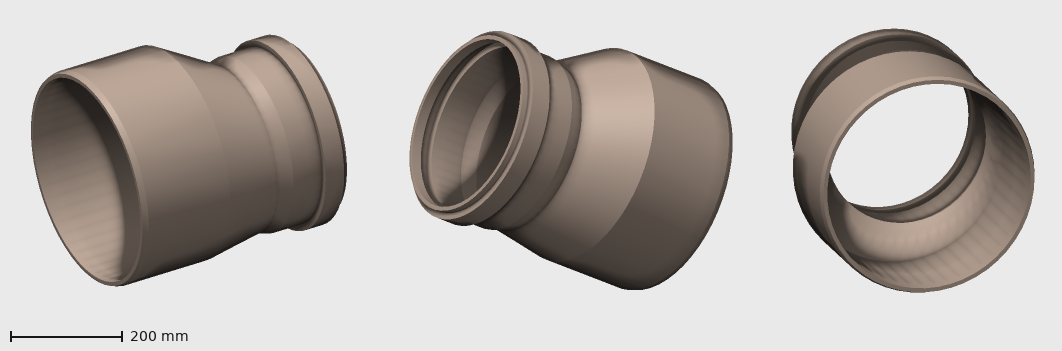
import cadquery as cq


spigot_chamfer_length = 11.5
cone_start = 180.5
cone_end = 280.5
flare_end = 308.5
collar_start = 368.8
collar_end = 407.0
total_length = 420.0

spigot_outer = 402.5
spigot_bore = 380.5
spigot_tip = 395.2
throat_outer = 316.3
throat_bore = 298.0
socket_outer = 331.0
socket_bore = 316.0
collar_outer = 355.5
groove_bore = 341.0

socket_offset = 41.0

groove_wall = (collar_outer - groove_bore) / 2
groove_start = collar_start + groove_wall
groove_end = collar_end - groove_wall


def frustum(y_start, diameter_start, x_start, y_end, diameter_end, x_end):
    """Solid between two circles facing +Y, which may lie on different parallel axes."""
    return (
        cq.Workplane("XZ", origin=(x_start, y_start, 0))
        .circle(diameter_start / 2)
        .workplane(offset=y_start - y_end)
        .center(x_end - x_start, 0)
        .circle(diameter_end / 2)
        .loft(ruled=True, combine=True)
    )


def cylinder(y_start, y_end, diameter, x):
    """Straight round body along Y."""
    return cq.Workplane("XZ", origin=(x, y_start, 0)).circle(diameter / 2).extrude(y_start - y_end)


def outer_body():
    """Outside of the fitting: spigot, eccentric cone, flare, socket and collar."""
    tip = frustum(0, spigot_tip, 0, spigot_chamfer_length, spigot_outer, 0)
    spigot = cylinder(spigot_chamfer_length, cone_start, spigot_outer, 0)
    cone = frustum(cone_start, spigot_outer, 0, cone_end, throat_outer, socket_offset)
    flare = frustum(cone_end, throat_outer, socket_offset, flare_end, socket_outer, socket_offset)
    socket = cylinder(flare_end, total_length, socket_outer, socket_offset)
    collar = cylinder(collar_start, collar_end, collar_outer, socket_offset)
    return tip.union(spigot).union(cone).union(flare).union(socket).union(collar)


def inner_passage():
    """Hollow inside of the fitting, including the seal groove."""
    spigot = cylinder(0, cone_start, spigot_bore, 0)
    cone = frustum(cone_start, spigot_bore, 0, cone_end, throat_bore, socket_offset)
    flare = frustum(cone_end, throat_bore, socket_offset, flare_end, socket_bore, socket_offset)
    socket = cylinder(flare_end, total_length, socket_bore, socket_offset)
    groove = cylinder(groove_start, groove_end, groove_bore, socket_offset)
    return spigot.union(cone).union(flare).union(socket).union(groove)


result = outer_body().cut(inner_passage())